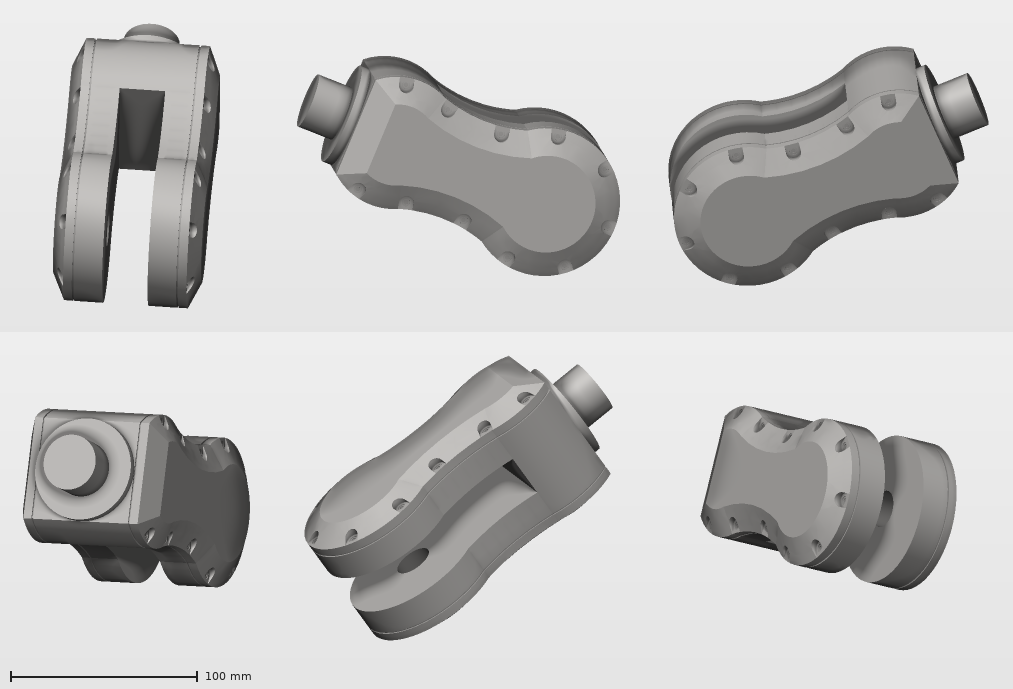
import cadquery as cq
import math


back_height = 55.2
waist_y = 62.7
waist_length = 48.0
waist_end_height = 64.8
waist_height = 57.2
large_round_y = 110.5

rear_joint_y = waist_y - waist_length / 2
front_joint_y = waist_y + waist_length / 2
joint_z = waist_end_height / 2
waist_sag = (waist_end_height - waist_height) / 2
waist_radius = ((waist_length / 2) ** 2 + waist_sag**2) / (2 * waist_sag)
waist_center_z = waist_height / 2 + waist_radius
large_round_radius = math.hypot(large_round_y - front_joint_y, joint_z)
small_round_y = (rear_joint_y**2 + joint_z**2 - (back_height / 2) ** 2) / (2 * rear_joint_y)
small_round_radius = math.hypot(small_round_y, back_height / 2)

slot_width = 24.5
rim_half_width = 33.2
total_width = 79.5
rim_thickness = 4.7
seam_width = 0.9
seam_depth = 0.9
bevel_inset = 13.9
seam_outer_x = rim_half_width - rim_thickness
seam_inner_x = seam_outer_x - seam_width

screw_edge_distance = 4.0
seat_radius = 4.0
head_diameter = 4.5
head_depth = 0.3
socket_diameter = 2.5
socket_depth = 0.7
front_screw_angles = (-102, -51, 0, 51, 102)
waist_screw_angles = (-104.6, -82, 82.6, 105.8)
rear_screw_angles = (102.5, -106.8)

flange_diameter = back_height
flange_thickness = 4.9
shaft_diameter = 30.0
shaft_length = 19.5
pivot_diameter = 20.0

roll = -2.4
pitch = -22.8
yaw = 199.8
back_center = (-21.9, 57.7, 28.3)


def polar(center_y, center_z, radius, angle):
    """(Y, Z) of a point at an angle in degrees from +Y about a centre."""
    turn = math.radians(angle)
    return (center_y + radius * math.cos(turn), center_z + radius * math.sin(turn))


def meeting_point(round_y, round_radius, hollow_radius):
    """Upper point, on the waist side, where a round centred on the Y axis meets the hollow arc."""
    dy = waist_y - round_y
    dz = waist_center_z
    distance = math.hypot(dy, dz)
    along = (distance**2 + round_radius**2 - hollow_radius**2) / (2 * distance)
    side = math.copysign(math.sqrt(round_radius**2 - along**2), dy)
    return (
        round_y + (along * dy + side * dz) / distance,
        (along * dz - side * dy) / distance,
    )


def below(point):
    return (point[0], -point[1])


def outline(x, inset=0.0):
    """Side outline moved inwards by `inset`, drawn in the plane at the given X."""
    small = small_round_radius - inset
    large = large_round_radius - inset
    waist = waist_height / 2 - inset
    rear = meeting_point(small_round_y, small, waist_radius + inset)
    front = meeting_point(large_round_y, large, waist_radius + inset)
    corner = (inset, math.sqrt(small**2 - (small_round_y - inset) ** 2))
    corner_angle = math.degrees(math.atan2(corner[1], corner[0] - small_round_y))
    rear_angle = math.degrees(math.atan2(rear[1], rear[0] - small_round_y))
    shoulder = polar(small_round_y, 0, small, (corner_angle + rear_angle) / 2)
    return (
        cq.Workplane("YZ", origin=(x, 0, 0))
        .moveTo(*corner)
        .threePointArc(shoulder, rear)
        .threePointArc((waist_y, waist), front)
        .threePointArc((large_round_y + large, 0), below(front))
        .threePointArc((waist_y, -waist), below(rear))
        .threePointArc(below(shoulder), below(corner))
        .close()
    )


def cylinder_along_x(x, y, z, diameter, length):
    """Cylinder that starts at (x, y, z); a negative length runs towards -X."""
    return cq.Workplane("YZ", origin=(x, y, z)).circle(diameter / 2).extrude(length)


def make_body():
    """Fork with a slot open to the front and a pivot hole through both legs."""
    body = outline(-seam_inner_x).extrude(2 * seam_inner_x)
    slot_length = large_round_y + large_round_radius - rear_joint_y
    slot = (
        cq.Workplane("XY", origin=(0, rear_joint_y, 0))
        .box(slot_width, slot_length, 2 * large_round_radius, centered=(True, False, True))
    )
    pivot = cylinder_along_x(-seam_inner_x, large_round_y, 0, pivot_diameter, 2 * seam_inner_x)
    return body.cut(slot).cut(pivot)


def screw_places():
    """(Y, Z, outward angle) of every screw on a cover, at one distance from its edge."""
    large_radius = large_round_radius - screw_edge_distance
    hollow_radius = waist_radius + screw_edge_distance
    small_radius = small_round_radius - screw_edge_distance
    places = []
    for angle in front_screw_angles:
        places.append((*polar(large_round_y, 0, large_radius, angle), angle))
    for angle in waist_screw_angles:
        center_z = math.copysign(waist_center_z, -angle)
        places.append((*polar(waist_y, center_z, hollow_radius, angle), angle + 180))
    for angle in rear_screw_angles:
        places.append((*polar(small_round_y, 0, small_radius, angle), angle))
    return places


def screw_seat(y, z, angle):
    """Flat seat open to the rim, with a shallow head recess and a socket, for a cover on +X."""
    height = total_width / 2 - rim_half_width
    seat = cylinder_along_x(rim_half_width, 0, 0, 2 * seat_radius, height)
    opening = (
        cq.Workplane("XY", origin=(rim_half_width, 0, 0))
        .box(height, 2 * seat_radius, 2 * seat_radius, centered=(False, False, True))
    )
    head = cylinder_along_x(rim_half_width, 0, 0, head_diameter, -head_depth)
    socket = cylinder_along_x(rim_half_width, 0, 0, socket_diameter, -socket_depth)
    seat = seat.union(opening).union(head).union(socket)
    return seat.rotate((0, 0, 0), (1, 0, 0), angle).translate((0, y, z))


def make_cover():
    """Plate on the +X side with a bevelled outer face, set off from the body by a thin seam."""
    seam = outline(seam_inner_x, seam_depth).extrude(seam_width)
    plate = outline(seam_outer_x).extrude(rim_thickness)
    outer_loop = outline(rim_half_width).val()
    inner_loop = outline(total_width / 2, bevel_inset).val()
    bevel = cq.Workplane(cq.Solid.makeLoft([outer_loop, inner_loop], True))
    cover = plate.union(bevel).union(seam)
    for place in screw_places():
        cover = cover.cut(screw_seat(*place))
    return cover


def make_stub():
    """Round flange against the back with a plain shaft."""
    back = cq.Workplane("XZ")
    flange = back.circle(flange_diameter / 2).extrude(flange_thickness)
    shaft = back.circle(shaft_diameter / 2).extrude(flange_thickness + shaft_length)
    return flange.union(shaft)


cover = make_cover()
part = make_body().union(cover).union(cover.mirror("YZ")).union(make_stub())
result = (
    part.rotate((0, 0, 0), (0, 1, 0), roll)
    .rotate((0, 0, 0), (1, 0, 0), pitch)
    .rotate((0, 0, 0), (0, 0, 1), yaw)
    .translate(back_center)
)